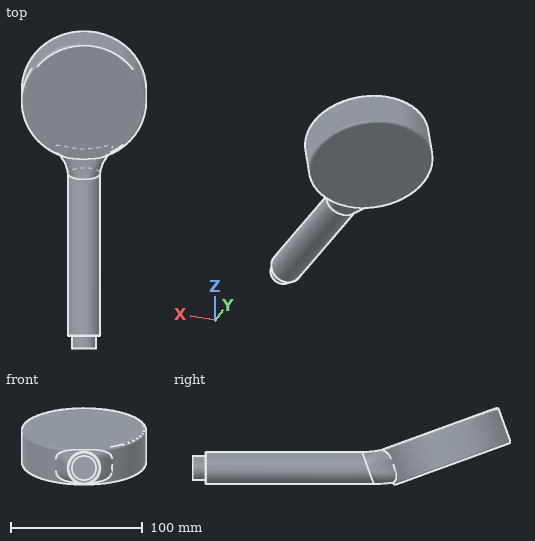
import cadquery as cq
import math

tilt = 20.0
head_radius = 47.38
head_thickness = 28.7
head_edge_radius = 2.0
head_center_y = 192.2
head_center_z = 16.5

handle_radius = 12.3
connector_radius = 9.2
connector_length = 9.6
handle_edge_chamfer = 0.5

neck_start = 61.2
neck_flare_radius = 29.0
neck_end_half_height = 13.3
neck_overlap = 0.7
neck_end_squareness = 5.0
neck_outline_points = 32
neck_sections = 7

tilt_sin = math.sin(math.radians(tilt))
tilt_cos = math.cos(math.radians(tilt))
radial_direction = cq.Vector(0, -tilt_cos, -tilt_sin)
head_normal = cq.Vector(0, -tilt_sin, tilt_cos)
head_center = cq.Vector(0, head_center_y, head_center_z)

neck_start_rise = (neck_start * tilt_sin - head_center_z) / tilt_cos
neck_drop_length = 2 * neck_start_rise / math.tan(math.radians(tilt))
neck_start_half_height = handle_radius / tilt_cos
flare_contact_radius = head_radius - neck_overlap
flare_center_reach = flare_contact_radius + neck_flare_radius
flare_center_x = handle_radius + neck_flare_radius
flare_center_distance = math.sqrt(flare_center_reach ** 2 - flare_center_x ** 2)
neck_end = flare_center_distance * flare_contact_radius / flare_center_reach


def make_head():
    back_center = head_center - head_normal * (head_thickness / 2)
    plane = cq.Plane(origin=back_center, xDir=(1, 0, 0), normal=head_normal)
    disc = cq.Workplane(plane).circle(head_radius).extrude(head_thickness)
    return disc.edges().fillet(head_edge_radius)


def neck_plane(distance, rise):
    """Plane across the neck, its local Y along the head normal."""
    origin = head_center + radial_direction * distance + head_normal * rise
    return cq.Plane(origin=origin, xDir=(1, 0, 0), normal=radial_direction * -1)


def make_handle():
    to_y = cq.Plane(origin=(0, 0, 0), xDir=(1, 0, 0), normal=(0, 1, 0))
    connector = cq.Workplane(to_y).circle(connector_radius).extrude(head_center_y / 2)
    grip = cq.Workplane(to_y).workplane(offset=connector_length).circle(handle_radius)
    grip = grip.extrude(head_center_y - connector_length)
    grip = grip.faces("<Y").chamfer(handle_edge_chamfer)
    trim_size = 2 * head_center_y
    beyond = cq.Workplane(neck_plane(neck_start, 0)).rect(trim_size, trim_size).extrude(trim_size)
    return grip.cut(beyond).union(connector)


def superellipse_coordinate(value, half_size, exponent):
    """Coordinate for a sine or cosine value along a superellipse."""
    return math.copysign(half_size * abs(value) ** (2 / exponent), value)


def neck_wire(fraction):
    """Neck section growing squarer; fraction 0 is an ellipse at the handle and 1 inside the head."""
    distance = neck_start + (neck_end - neck_start) * fraction
    rise = neck_start_rise * (1 - (neck_start - distance) / neck_drop_length) ** 2
    from_flare = max(flare_center_distance - distance, 0)
    half_width = flare_center_x - math.sqrt(neck_flare_radius ** 2 - from_flare ** 2)
    half_height = neck_start_half_height + (neck_end_half_height - neck_start_half_height) * fraction
    exponent = 2 + (neck_end_squareness - 2) * fraction
    outline = []
    for index in range(neck_outline_points):
        angle = 2 * math.pi * index / neck_outline_points
        x = superellipse_coordinate(math.cos(angle), half_width, exponent)
        y = superellipse_coordinate(math.sin(angle), half_height, exponent)
        outline.append((x, y))
    return cq.Workplane(neck_plane(distance, rise)).spline(outline, periodic=True).wire().val()


def make_neck():
    sections = [neck_wire(index / (neck_sections - 1)) for index in range(neck_sections)]
    return cq.Workplane(cq.Solid.makeLoft(sections))


result = make_head().union(make_neck()).union(make_handle())